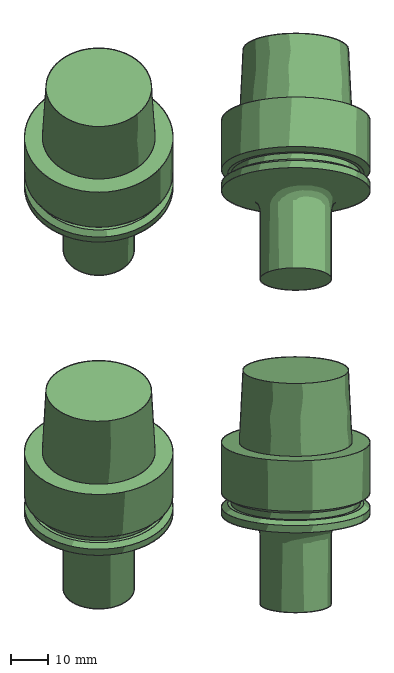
import cadquery as cq
import math

collar_radius = 40.0 / 2
groove_radius = 34.7 / 2
stem_radius = 19.2 / 2
taper_base_radius = 15.2
taper_top_radius = 14.2

total_height = 64.9
taper_height = 20.0
collar_height = 20.0
lower_rim_height = 2.0
groove_width = 2.0
bevel_height = 1.0

bevel_angle = math.radians(60)
underside_angle = math.radians(15)
neck_radius = 5.0
underside_height = 1.0

collar_top = total_height - taper_height
collar_bottom = collar_top - collar_height
lower_bevel_bottom = collar_bottom + lower_rim_height
groove_bottom = lower_bevel_bottom + bevel_height
groove_top = groove_bottom + groove_width
upper_bevel_top = groove_top + bevel_height
bevel_radius = collar_radius - bevel_height * math.tan(bevel_angle)

neck_center_radius = stem_radius + neck_radius
neck_top = collar_bottom - underside_height
neck_bottom = neck_top - neck_radius * math.cos(underside_angle)


def neck_point(angle):
    """Point on the neck arc, at an angle above the inward horizontal."""
    return (
        neck_center_radius - neck_radius * math.cos(angle),
        neck_bottom + neck_radius * math.sin(angle),
    )


neck_sweep = math.pi / 2 - underside_angle
neck_end = neck_point(neck_sweep)
underside_radius = neck_end[0] + underside_height / math.tan(underside_angle)

profile = (
    cq.Workplane("XZ")
    .lineTo(stem_radius, 0)
    .lineTo(stem_radius, neck_bottom)
    .threePointArc(neck_point(neck_sweep / 2), neck_end)
    .lineTo(underside_radius, collar_bottom)
    .lineTo(collar_radius, collar_bottom)
    .lineTo(collar_radius, lower_bevel_bottom)
    .lineTo(bevel_radius, groove_bottom)
    .lineTo(groove_radius, groove_bottom)
    .lineTo(groove_radius, groove_top)
    .lineTo(bevel_radius, groove_top)
    .lineTo(collar_radius, upper_bevel_top)
    .lineTo(collar_radius, collar_top)
    .lineTo(taper_base_radius, collar_top)
    .lineTo(taper_top_radius, total_height)
    .lineTo(0, total_height)
    .close()
)

result = profile.revolve(360, (0, 0, 0), (0, 1, 0))